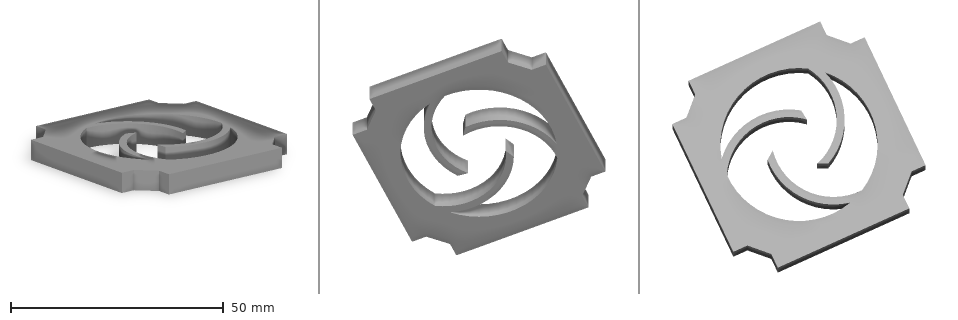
import cadquery as cq
import math

side = 49.8
thickness = 5.0
edge_half_length = 17.05
notch_wall = 3.65
hole_radius = 18.5

blade_count = 3
blade_center = (-6.25, 5.5)
blade_inner_radius = 14.65
blade_width = 1.85
tip_inner_y = -4.25
tip_outer_y = -3.95
root_angle = 65.0


def corner_cutter():
    """Stepped notch with a diagonal floor at the +X +Y corner."""
    half = side / 2
    step = half - notch_wall
    return (
        cq.Workplane("XY")
        .polyline([
            (edge_half_length, half),
            (edge_half_length, step),
            (step, edge_half_length),
            (half, edge_half_length),
            (half, half),
        ])
        .close()
        .extrude(thickness)
    )


def blade_point(radius, angle):
    """Point on a circle about the blade center, with the angle in degrees."""
    a = math.radians(angle)
    return (blade_center[0] + radius * math.cos(a), blade_center[1] + radius * math.sin(a))


def angle_at_height(radius, y):
    """Angle at which a circle about the blade center reaches height y on its +X side."""
    return math.degrees(math.asin((y - blade_center[1]) / radius))


def blade():
    """Concentric-arc blade from the rim to a slanted free tip."""
    outer_radius = blade_inner_radius + blade_width
    inner_tip = angle_at_height(blade_inner_radius, tip_inner_y)
    outer_tip = angle_at_height(outer_radius, tip_outer_y)
    return (
        cq.Workplane("XY")
        .moveTo(*blade_point(blade_inner_radius, inner_tip))
        .threePointArc(
            blade_point(blade_inner_radius, (inner_tip + root_angle) / 2),
            blade_point(blade_inner_radius, root_angle),
        )
        .lineTo(*blade_point(outer_radius, root_angle))
        .threePointArc(
            blade_point(outer_radius, (outer_tip + root_angle) / 2),
            blade_point(outer_radius, outer_tip),
        )
        .close()
        .extrude(thickness)
    )


def turned(body, angle):
    """Copy of a body turned about the plate axis."""
    return body.rotate((0, 0, 0), (0, 0, 1), angle)


plate = cq.Workplane("XY").rect(side, side).extrude(thickness)
for quarter in range(4):
    plate = plate.cut(turned(corner_cutter(), quarter * 90))
plate = plate.cut(cq.Workplane("XY").circle(hole_radius).extrude(thickness))

for index in range(blade_count):
    plate = plate.union(turned(blade(), index * 360 / blade_count))

result = plate